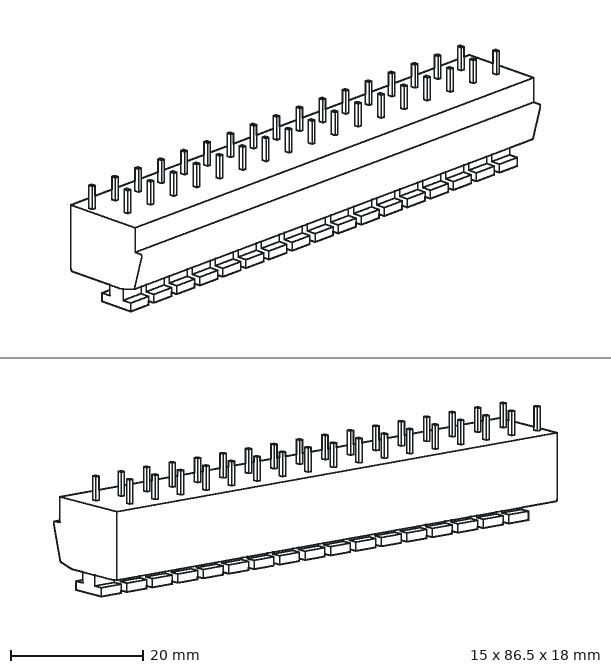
import cadquery as cq

LENGTH = 86.5
BODY_WIDTH = 13.6
BODY_HEIGHT = 10.7

EDGE_RADIUS = 0.5

RAIL_REACH = 1.4
RAIL_TOP_DROP = 4.0
RAIL_LIP_HEIGHT = 0.4
RAIL_TIP_RADIUS = 0.3

RAMP_START_X = 10.6
RAMP_END_X = 13.4
RAMP_HEIGHT = 0.7

POLES = 17
FIRST_TO_LAST_POLE = 80.0
PITCH = FIRST_TO_LAST_POLE / (POLES - 1)

PIN_WIDTH = 0.8
PIN_THICKNESS = 0.6
PIN_HEIGHT = 3.7
FIRST_PIN_X = 3.3
FIRST_PIN_Y = PITCH / 4
ROW_SPACING = PITCH
ROW_STAGGER = PITCH / 2

LEVER_X = 8.7
FIRST_LEVER_Y = 2.85
LEVER_LENGTH = 3.9
LEVER_HEIGHT = 3.6
STEM_WIDTH = 2.85
FOOT_WIDTH = 6.05
FOOT_HEIGHT = 1.4


def make_body():
    """Housing profile in XZ, extruded along the full length."""
    rail_x = BODY_WIDTH + RAIL_REACH
    rail_z = BODY_HEIGHT - RAIL_TOP_DROP
    return (
        cq.Workplane("XZ")
        .moveTo(EDGE_RADIUS, 0)
        .lineTo(RAMP_START_X, 0)
        .lineTo(RAMP_END_X, RAMP_HEIGHT)
        .lineTo(rail_x, rail_z - RAIL_LIP_HEIGHT)
        .lineTo(rail_x, rail_z - RAIL_TIP_RADIUS)
        .radiusArc((rail_x - RAIL_TIP_RADIUS, rail_z), -RAIL_TIP_RADIUS)
        .lineTo(BODY_WIDTH, rail_z)
        .lineTo(BODY_WIDTH, BODY_HEIGHT)
        .lineTo(0, BODY_HEIGHT)
        .lineTo(0, EDGE_RADIUS)
        .radiusArc((EDGE_RADIUS, 0), -EDGE_RADIUS)
        .close()
        .extrude(-LENGTH)
    )


def make_pin(x, y):
    """Rectangular pin standing on the top face."""
    return (
        cq.Workplane("XY", origin=(x, y, BODY_HEIGHT))
        .rect(PIN_WIDTH, PIN_THICKNESS)
        .extrude(PIN_HEIGHT)
    )


def make_lever(y):
    """Upside-down T hanging below the housing."""
    stem = (
        cq.Workplane("XY", origin=(LEVER_X, y, 0))
        .rect(STEM_WIDTH, LEVER_LENGTH)
        .extrude(-LEVER_HEIGHT)
    )
    foot = (
        cq.Workplane("XY", origin=(LEVER_X, y, -LEVER_HEIGHT))
        .rect(FOOT_WIDTH, LEVER_LENGTH)
        .extrude(FOOT_HEIGHT)
    )
    return stem.union(foot)


result = make_body()
for pole in range(POLES):
    pole_y = pole * PITCH
    pin_y = FIRST_PIN_Y + pole_y
    result = result.union(make_pin(FIRST_PIN_X, pin_y))
    result = result.union(make_pin(FIRST_PIN_X + ROW_SPACING, pin_y + ROW_STAGGER))
    result = result.union(make_lever(FIRST_LEVER_Y + pole_y))